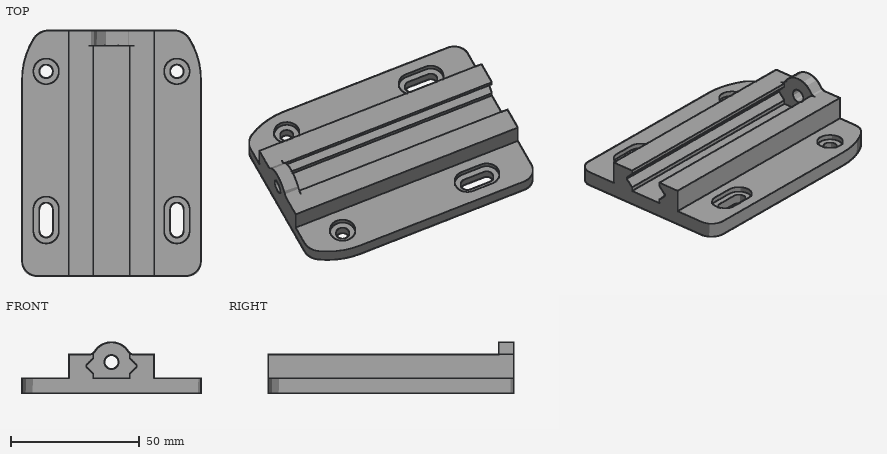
import cadquery as cq
import math

plate_width = 70.0
plate_length = 96.0
plate_thickness = 6.0
front_corner_radius = 6.0
back_corner_radius = 7.0
side_arc_radius = 30.0
side_arc_length = 19.2

rail_width = 33.2
rail_height = 9.2
groove_width = 14.2
notch_depth = 2.8
notch_tip_height = 0.6
notch_center_z = 10.7

total_height = 20.0
stop_length = 6.0
stop_hole_diameter = 5.4
stop_hole_z = 12.2
stop_blend_radius = 2.5

screw_x = 25.5
screw_hole_y = 32.0
slot_center_y = -26.1
slot_travel = 8.4
screw_diameter = 5.2
head_diameter = 10.0
head_depth = 2.0

half_width = plate_width / 2
half_length = plate_length / 2
rail_top = plate_thickness + rail_height


def extrude_back(profile, front_y, length):
    """Extrude an XZ profile toward +Y, starting at front_y."""
    return profile.extrude(-length).translate((0, front_y, 0))


def make_plate():
    """Plate with round front corners and long tangent arcs at the back."""
    side_center_x = half_width - side_arc_radius
    side_center_y = half_length - side_arc_length
    corner_center_y = half_length - back_corner_radius
    center_rise = corner_center_y - side_center_y
    center_distance = side_arc_radius - back_corner_radius
    join_angle = math.asin(center_rise / center_distance)
    corner_center_x = side_center_x + center_distance * math.cos(join_angle)

    def side_point(angle):
        return (
            side_center_x + side_arc_radius * math.cos(angle),
            side_center_y + side_arc_radius * math.sin(angle),
        )

    def corner_point(angle):
        return (
            corner_center_x + back_corner_radius * math.cos(angle),
            corner_center_y + back_corner_radius * math.sin(angle),
        )

    corner_middle = (join_angle + math.pi / 2) / 2
    right_half = (
        cq.Workplane("XY")
        .moveTo(0, -half_length)
        .lineTo(half_width - front_corner_radius, -half_length)
        .radiusArc((half_width, -half_length + front_corner_radius), -front_corner_radius)
        .lineTo(half_width, side_center_y)
        .threePointArc(side_point(join_angle / 2), side_point(join_angle))
        .threePointArc(corner_point(corner_middle), (corner_center_x, half_length))
        .lineTo(0, half_length)
        .close()
        .extrude(plate_thickness)
    )
    return right_half.union(right_half.mirror("YZ")).clean()


def make_rail():
    return (
        cq.Workplane("XY")
        .box(rail_width, plate_length, rail_height, centered=(True, True, False))
        .translate((0, 0, plate_thickness))
    )


def make_groove(front_y, length):
    """Upright channel with a blunt 45-degree notch in each wall."""
    half_groove = groove_width / 2
    half_notch_width = half_groove + notch_depth
    half_tip = notch_tip_height / 2
    half_mouth = half_tip + notch_depth
    right_side = [
        (half_groove, plate_thickness),
        (half_groove, notch_center_z - half_mouth),
        (half_notch_width, notch_center_z - half_tip),
        (half_notch_width, notch_center_z + half_tip),
        (half_groove, notch_center_z + half_mouth),
        (half_groove, rail_top),
    ]
    left_side = [(-x, z) for x, z in reversed(right_side)]
    profile = cq.Workplane("XZ").polyline(right_side + left_side).close()
    return extrude_back(profile, front_y, length)


def make_stop_dome(front_y):
    """Round crown of the stop, blended into the rail top on both sides."""
    dome_radius = total_height - stop_hole_z
    center_distance = dome_radius + stop_blend_radius
    blend_center_z = rail_top + stop_blend_radius
    blend_rise = blend_center_z - stop_hole_z
    blend_center_x = math.sqrt(center_distance**2 - blend_rise**2)
    join_x = blend_center_x * dome_radius / center_distance
    join_z = stop_hole_z + blend_rise * dome_radius / center_distance
    profile = (
        cq.Workplane("XZ")
        .moveTo(-blend_center_x, rail_top)
        .radiusArc((-join_x, join_z), -stop_blend_radius)
        .threePointArc((0, total_height), (join_x, join_z))
        .radiusArc((blend_center_x, rail_top), -stop_blend_radius)
        .close()
    )
    return extrude_back(profile, front_y, stop_length)


def cut_slots(body, center_y, travel):
    """Cut a recessed slot on each side; zero travel gives a round hole."""
    for x in (-screw_x, screw_x):
        for diameter, bottom_z in (
            (screw_diameter, 0),
            (head_diameter, plate_thickness - head_depth),
        ):
            sketch = cq.Workplane("XY", origin=(x, center_y, bottom_z))
            if travel > 0:
                outline = sketch.slot2D(travel + diameter, diameter, 90)
            else:
                outline = sketch.circle(diameter / 2)
            body = body.cut(outline.extrude(plate_thickness - bottom_z))
    return body


stop_front_y = half_length - stop_length
groove_length = plate_length - stop_length

body = make_plate().union(make_rail())
body = body.cut(make_groove(-half_length, groove_length))
body = body.union(make_stop_dome(stop_front_y))

stop_hole = cq.Workplane("XZ").center(0, stop_hole_z).circle(stop_hole_diameter / 2)
body = body.cut(extrude_back(stop_hole, stop_front_y, stop_length))

body = cut_slots(body, screw_hole_y, 0)
result = cut_slots(body, slot_center_y, slot_travel)